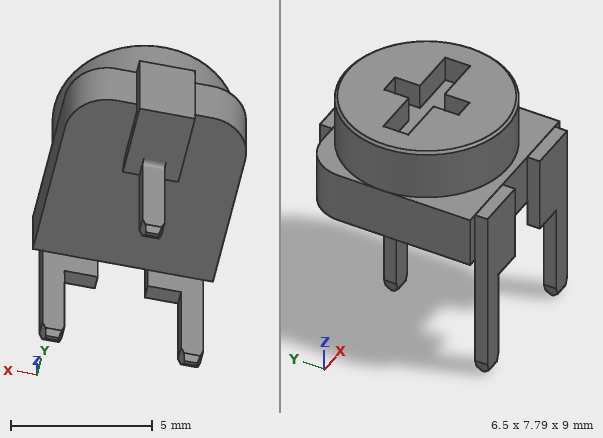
import cadquery as cq


base_width = 6.5
base_length = 6.795
base_thickness = 2.0
base_corner_radius = 1.5

rotor_diameter = base_width
rotor_height = 2.0
rotor_chamfer = 0.1
slot_depth = 1.0
long_slot_length = 4.5
long_slot_width = 1.0
short_slot_length = 3.0
short_slot_width = 0.8

sheet = 0.5
plate_width = 2.0
pin_width = 0.8
front_plate_outer_x = 2.9
arm_reach = 2.25
bend_outer_radius = 0.495
bend_inner_radius = 0.2
tip_height = 0.5
tip_side_inset = 0.17
tip_bevel = 0.2

total_height = 9.0
base_top = total_height - rotor_height
base_bottom = base_top - base_thickness
plate_bottom = 4.0
plate_height = base_top - plate_bottom
base_back = rotor_diameter / 2
base_front = base_back - base_length


def box_from(x, y, z, dx, dy, dz):
    """Box with its lowest corner at (x, y, z)."""
    return cq.Workplane("XY").box(dx, dy, dz, centered=False).translate((x, y, z))


def make_base():
    center_y = (base_front + base_back) / 2
    block = box_from(-base_width / 2, base_front, base_bottom, base_width, base_length, base_thickness)
    back_corners = cq.selectors.BoxSelector(
        (-base_width, center_y, 0), (base_width, base_back + sheet, total_height)
    )
    return block.edges("|Z").edges(back_corners).fillet(base_corner_radius)


def make_rotor():
    rotor = cq.Workplane("XY").workplane(offset=base_top).circle(rotor_diameter / 2).extrude(rotor_height)
    rotor = rotor.faces(">Z").chamfer(rotor_chamfer)
    floor = total_height - slot_depth
    slot_sizes = [(long_slot_length, long_slot_width), (short_slot_width, short_slot_length)]
    for size_x, size_y in slot_sizes:
        rotor = rotor.cut(box_from(-size_x / 2, -size_y / 2, floor, size_x, size_y, slot_depth))
    return rotor


def make_pin(center_x, front_y):
    """Pin from the plate bottom down to a tip that tapers in X and is bevelled in Y."""
    half_width = pin_width / 2
    tip_half_width = half_width - tip_side_inset
    broad_outline = (
        cq.Workplane("XZ", origin=(center_x, front_y, 0))
        .polyline([
            (-half_width, plate_bottom),
            (-half_width, tip_height),
            (-tip_half_width, 0),
            (tip_half_width, 0),
            (half_width, tip_height),
            (half_width, plate_bottom),
        ])
        .close()
        .extrude(-sheet)
    )
    edge_outline = (
        cq.Workplane("YZ", origin=(center_x - half_width, front_y, 0))
        .polyline([
            (0, plate_bottom),
            (0, tip_bevel),
            (tip_bevel, 0),
            (sheet - tip_bevel, 0),
            (sheet, tip_bevel),
            (sheet, plate_bottom),
        ])
        .close()
        .extrude(pin_width)
    )
    return broad_outline.intersect(edge_outline)


def make_front_terminal(side):
    """Flat terminal on the front face; side is -1 for left and +1 for right."""
    plate_center = side * (front_plate_outer_x - plate_width / 2)
    pin_center = side * (front_plate_outer_x - pin_width / 2)
    front_y = base_front - sheet
    plate = box_from(plate_center - plate_width / 2, front_y, plate_bottom, plate_width, sheet, plate_height)
    return plate.union(make_pin(pin_center, front_y))


def make_back_terminal():
    """Plate on the back face, with an arm folded under the base and a pin folded down."""
    pin_front = base_back - arm_reach
    pin_back = pin_front + sheet
    plate = box_from(-plate_width / 2, base_back, plate_bottom, plate_width, sheet, plate_height)
    arm = box_from(-plate_width / 2, pin_front, plate_bottom, plate_width, arm_reach, sheet)
    arm = arm.edges("|X and >Z and <Y").fillet(bend_outer_radius)
    inner_bend = (
        cq.Workplane("YZ", origin=(-pin_width / 2, pin_back, plate_bottom))
        .lineTo(bend_inner_radius, 0)
        .radiusArc((0, -bend_inner_radius), -bend_inner_radius)
        .close()
        .extrude(pin_width)
    )
    return plate.union(arm).union(make_pin(0, pin_front)).union(inner_bend)


base = make_base()
rotor = make_rotor()
front_terminals = [make_front_terminal(side) for side in (-1, 1)]
back_terminal = make_back_terminal()

result = cq.Compound.makeCompound([
    base.solids().val(),
    rotor.solids().val(),
    *[terminal.solids().val() for terminal in front_terminals],
    back_terminal.solids().val(),
])